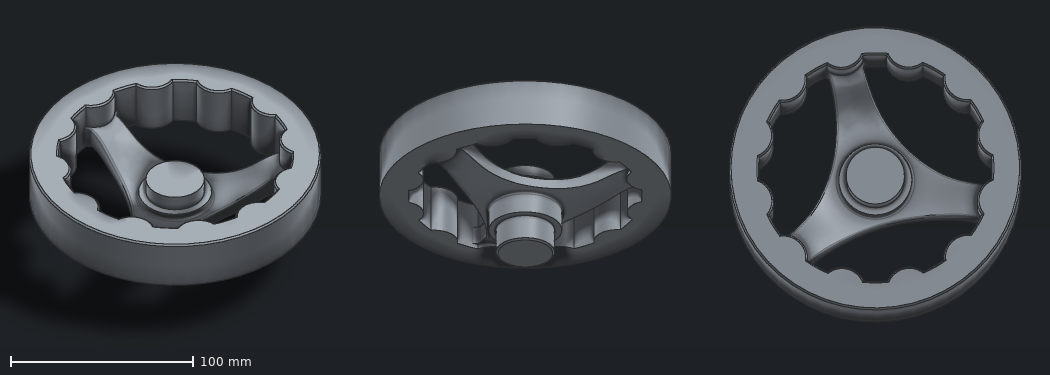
import cadquery as cq
import math

TOLERANCE = 0.2

RIM_DIAMETER = 160.0
RIM_INNER_RADIUS = 64.0
RIM_BOTTOM = 36.2
RIM_TOP = 64.3
RIM_HEIGHT = RIM_TOP - RIM_BOTTOM
RIM_CHAMFER = 1.0

LOBE_COUNT = 12
LOBE_RADIUS = 13.1
LOBE_TIP_RADIUS = 58.2
LOBE_CENTRE_RADIUS = LOBE_TIP_RADIUS + LOBE_RADIUS

HUB_DIAMETER = 40.0
HUB_BOTTOM = 14.9
HUB_TOP = 37.8
HUB_FILLET = 1.5

RIM_OVERLAP = 1.6
WEB_START_RADIUS = 16.0
WEB_MIDDLE_RADIUS = 44.8
WEB_END_RADIUS = RIM_INNER_RADIUS + RIM_OVERLAP
WEB_UNDERSIDE = [(WEB_START_RADIUS, 27.5), (WEB_MIDDLE_RADIUS, 32.6), (WEB_END_RADIUS, 39.0)]
WEB_UPPER_SIDE = [(WEB_START_RADIUS, 33.8), (WEB_MIDDLE_RADIUS, 41.8), (WEB_END_RADIUS, 50.0)]

SPOKE_COUNT = 3
WINDOW_NEAR_RADIUS = 25.3
WINDOW_ARC_RADIUS = 91.2
WINDOW_CORNER_RADIUS = 3.0
SPOKE_EDGE_FILLET = 1.0

SHAFT_DIAMETER = 32.0
SHAFT_LENGTH = 46.5
SHAFT_CHAMFER = 1.0


def disc(diameter, bottom, top):
    """Upright cylinder on the wheel axis."""
    return cq.Workplane("XY").workplane(offset=bottom).circle(diameter / 2).extrude(top - bottom)


def around_axis(body, count):
    """Copies of a body spaced evenly around the wheel axis."""
    return [body.rotate((0, 0, 0), (0, 0, 1), 360 / count * i) for i in range(count)]


def distance_from_axis(edge):
    """Distance from the wheel axis to the middle of an edge."""
    middle = edge.positionAt(0.5)
    return math.hypot(middle.x, middle.y)


def is_level(edge):
    return abs(edge.tangentAt(0.5).z) < TOLERANCE


def make_rim():
    """Ring with round finger lobes, chamfered along its top edges."""
    base = cq.Workplane("XY").workplane(offset=RIM_BOTTOM)
    rim = base.circle(RIM_DIAMETER / 2).circle(RIM_INNER_RADIUS).extrude(RIM_HEIGHT)
    rim = rim.faces(">Z").edges().chamfer(RIM_CHAMFER)

    lobe = base.center(LOBE_CENTRE_RADIUS, 0).circle(LOBE_RADIUS).extrude(RIM_HEIGHT)
    lobe = lobe.faces(">Z").chamfer(RIM_CHAMFER)
    lobe = lobe.intersect(disc(2 * LOBE_CENTRE_RADIUS, RIM_BOTTOM, RIM_TOP))
    for copy in around_axis(lobe, LOBE_COUNT):
        rim = rim.union(copy)
    return rim


def make_web():
    """Dished disc that rises from the hub to the rim."""
    return (
        cq.Workplane("XZ")
        .moveTo(0, WEB_UNDERSIDE[0][1])
        .lineTo(*WEB_UNDERSIDE[0])
        .spline(WEB_UNDERSIDE[1:], tangents=[(1, 0), (1, 0)], includeCurrent=True)
        .lineTo(*WEB_UPPER_SIDE[-1])
        .spline(WEB_UPPER_SIDE[-2::-1], tangents=[(-1, 0), (-1, 0)], includeCurrent=True)
        .lineTo(0, WEB_UPPER_SIDE[0][1])
        .close()
        .revolve()
    )


def make_window():
    """Cutter for one opening, bounded by a large arc and by the inner wall of the rim."""
    arc = cq.Workplane("XY").center(WINDOW_NEAR_RADIUS + WINDOW_ARC_RADIUS, 0)
    window = arc.circle(WINDOW_ARC_RADIUS).extrude(RIM_TOP)
    window = window.intersect(disc(2 * RIM_INNER_RADIUS, 0, RIM_TOP))
    return window.edges("|Z").fillet(WINDOW_CORNER_RADIUS)


def make_spokes():
    """Three spokes left between the windows, rounded along their upper edges."""
    web = make_web()
    for window in around_axis(make_window(), SPOKE_COUNT):
        web = web.cut(window)

    def is_on_window(edge):
        nearest = WINDOW_NEAR_RADIUS - TOLERANCE
        farthest = RIM_INNER_RADIUS + TOLERANCE
        return nearest < distance_from_axis(edge) < farthest

    upper_face = web.faces("%REVOLUTION").faces(">Z")
    web = upper_face.edges().filter(is_on_window).fillet(SPOKE_EDGE_FILLET)
    return web.intersect(disc(2 * RIM_INNER_RADIUS, 0, RIM_TOP))


def make_spider():
    """Spokes and hub, joined with a fillet above and below the web."""
    spider = make_spokes().union(disc(HUB_DIAMETER, HUB_BOTTOM, HUB_TOP))

    def is_hub_junction(edge):
        on_hub_wall = abs(distance_from_axis(edge) - HUB_DIAMETER / 2) < TOLERANCE
        between_ends = HUB_BOTTOM + TOLERANCE < edge.positionAt(0.5).z < HUB_TOP - TOLERANCE
        return on_hub_wall and between_ends and is_level(edge)

    return spider.edges().filter(is_hub_junction).fillet(HUB_FILLET)


def make_shaft():
    """Straight shaft through the hub, chamfered at its lower end."""
    return disc(SHAFT_DIAMETER, 0, SHAFT_LENGTH).faces("<Z").chamfer(SHAFT_CHAMFER)


def make_wheel():
    """Spider and rim in one piece, bored for the shaft."""
    bore = disc(SHAFT_DIAMETER, HUB_BOTTOM, HUB_TOP)
    return make_spider().union(make_rim()).cut(bore)


wheel = make_wheel()
shaft = make_shaft()
result = cq.Compound.makeCompound([wheel.val(), shaft.val()])